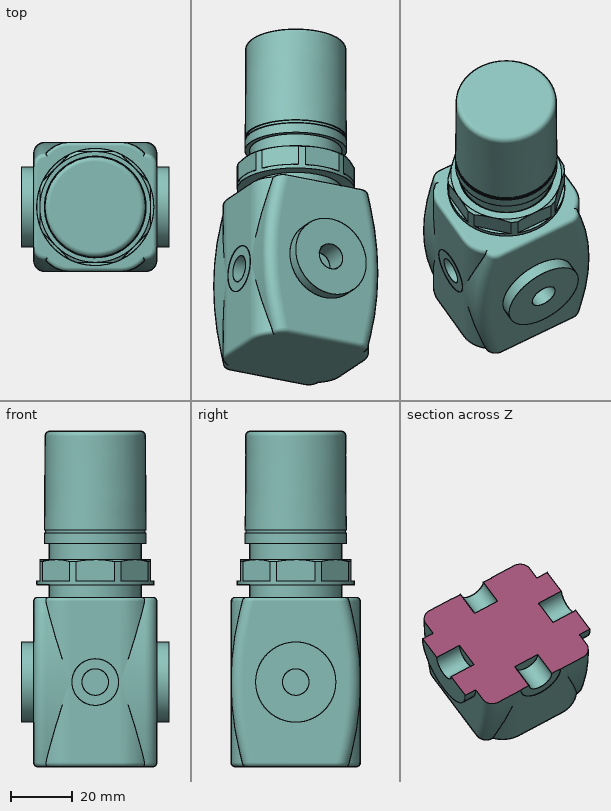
import cadquery as cq
import math

TOTAL_HEIGHT = 109.0
BLOCK_HEIGHT = 55.0
MID_HEIGHT = BLOCK_HEIGHT / 2

BLOCK_WIDTH = 40.0
BLOCK_DEPTH = 42.0
FRONT_FLAT_WIDTH = 16.6
SHOULDER_RADIUS = 10.0
BULGE_DROP = 2.7
BULGE_END_HEIGHT = 5.0
CORNER_RADIUS = 3.7
RIM_FILLET = 1.3

PORT_BOSS_DIAMETER = 26.0
PORT_BOSS_SPAN = 48.0
PORT_HOLE_DIAMETER = 8.6
PORT_HOLE_DEPTH = 8.7
GAUGE_SEAT_DIAMETER = 15.2
GAUGE_SEAT_DEPTH = 0.1

NECK_DIAMETER = 30.0
KNOB_BOTTOM = 72.5
KNOB_DIAMETER = 33.0
KNOB_TOP_DIAMETER = 32.6
KNOB_TOP_FILLET = 1.6
GROOVE_BOTTOM = 75.9
GROOVE_TOP = 76.8
GROOVE_DIAMETER = 32.4

NUT_BOTTOM = 59.1
NUT_TOP = 67.3
NUT_FLANGE_THICKNESS = 1.3
NUT_DIAMETER = 38.0
NUT_ACROSS_FLATS = 36.0
NUT_SIDES = 8
NUT_CHAMFER_ANGLE = 30.0
NUT_COUNTERSINK_DIAMETER = 31.0


def make_block_core():
    """Upright prism: flat front and back strips with rounded shoulders."""
    half_flat = FRONT_FLAT_WIDTH / 2
    return (
        cq.Workplane("XY")
        .rect(2 * (half_flat + SHOULDER_RADIUS), BLOCK_DEPTH)
        .extrude(BLOCK_HEIGHT)
        .edges("|Z")
        .fillet(SHOULDER_RADIUS)
    )


def make_block_bulge():
    """Full-width slab whose front and back faces bulge out towards mid height."""
    half_depth = BLOCK_DEPTH / 2
    arc_half_height = MID_HEIGHT - BULGE_END_HEIGHT
    arc_end_depth = half_depth - BULGE_DROP
    arc_radius = (arc_half_height**2 + BULGE_DROP**2) / (2 * BULGE_DROP)
    end_slope = math.tan(math.asin(arc_half_height / arc_radius))
    rim_depth = arc_end_depth - BULGE_END_HEIGHT * end_slope
    arc_top = BLOCK_HEIGHT - BULGE_END_HEIGHT

    slab = (
        cq.Workplane("YZ")
        .moveTo(-rim_depth, 0)
        .lineTo(rim_depth, 0)
        .lineTo(arc_end_depth, BULGE_END_HEIGHT)
        .threePointArc((half_depth, MID_HEIGHT), (arc_end_depth, arc_top))
        .lineTo(rim_depth, BLOCK_HEIGHT)
        .lineTo(-rim_depth, BLOCK_HEIGHT)
        .lineTo(-arc_end_depth, arc_top)
        .threePointArc((-half_depth, MID_HEIGHT), (-arc_end_depth, BULGE_END_HEIGHT))
        .close()
        .extrude(BLOCK_WIDTH / 2, both=True)
    )
    side_outlines = slab.faces("<X or >X").edges("not(|Y)")
    return side_outlines.fillet(CORNER_RADIUS)


def make_block():
    block = make_block_core().union(make_block_bulge())
    return block.faces("<Z or >Z").edges().fillet(RIM_FILLET)


def make_port_bosses():
    return (
        cq.Workplane("YZ")
        .center(0, MID_HEIGHT)
        .circle(PORT_BOSS_DIAMETER / 2)
        .extrude(PORT_BOSS_SPAN / 2, both=True)
    )


def make_bore(angle, face_distance, diameter, depth):
    """Level cylinder going inwards from a side face; an angle of 0 faces +X."""
    return (
        cq.Workplane("YZ", origin=(face_distance - depth, 0, MID_HEIGHT))
        .circle(diameter / 2)
        .extrude(depth)
        .rotate((0, 0, 0), (0, 0, 1), angle)
    )


def make_neck_and_knob():
    """Turned profile of the neck and the adjusting knob on top of it."""
    neck = NECK_DIAMETER / 2
    knob = KNOB_DIAMETER / 2
    groove = GROOVE_DIAMETER / 2
    profile = (
        cq.Workplane("XZ")
        .moveTo(0, MID_HEIGHT)
        .lineTo(neck, MID_HEIGHT)
        .lineTo(neck, KNOB_BOTTOM)
        .lineTo(knob, KNOB_BOTTOM)
        .lineTo(knob, GROOVE_BOTTOM)
        .lineTo(groove, GROOVE_BOTTOM)
        .lineTo(groove, GROOVE_TOP)
        .lineTo(knob, GROOVE_TOP)
        .lineTo(KNOB_TOP_DIAMETER / 2, TOTAL_HEIGHT)
        .lineTo(0, TOTAL_HEIGHT)
        .close()
    )
    return profile.revolve().faces(">Z").edges().fillet(KNOB_TOP_FILLET)


def make_regulator():
    regulator = make_block().union(make_port_bosses()).union(make_neck_and_knob())
    for angle in (0, 180):
        regulator = regulator.cut(
            make_bore(angle, PORT_BOSS_SPAN / 2, PORT_HOLE_DIAMETER, PORT_HOLE_DEPTH)
        )
    for angle in (90, 270):
        regulator = regulator.cut(
            make_bore(angle, BLOCK_DEPTH / 2, PORT_HOLE_DIAMETER, PORT_HOLE_DEPTH)
        )
        regulator = regulator.cut(
            make_bore(angle, BLOCK_DEPTH / 2, GAUGE_SEAT_DIAMETER, GAUGE_SEAT_DEPTH)
        )
    return regulator


def make_nut():
    """Octagonal panel nut with a round flange and a countersunk bore."""
    outer = NUT_DIAMETER / 2
    flat = NUT_ACROSS_FLATS / 2
    bore = NECK_DIAMETER / 2
    countersink = NUT_COUNTERSINK_DIAMETER / 2
    countersink_depth = countersink - bore
    chamfer_drop = (outer - flat) * math.tan(math.radians(NUT_CHAMFER_ANGLE))

    blank = (
        cq.Workplane("XZ")
        .moveTo(bore, NUT_BOTTOM)
        .lineTo(outer, NUT_BOTTOM)
        .lineTo(outer, NUT_TOP - chamfer_drop)
        .lineTo(flat, NUT_TOP)
        .lineTo(countersink, NUT_TOP)
        .lineTo(bore, NUT_TOP - countersink_depth)
        .close()
        .revolve()
    )
    octagon = (
        cq.Workplane("XY")
        .polygon(NUT_SIDES, NUT_ACROSS_FLATS, circumscribed=True)
        .extrude(NUT_TOP)
    )
    flange = cq.Workplane("XY").circle(outer).extrude(NUT_BOTTOM + NUT_FLANGE_THICKNESS)
    return blank.intersect(octagon.union(flange))


regulator = make_regulator()
nut = make_nut()

result = cq.Compound.makeCompound([regulator.val(), nut.val()])